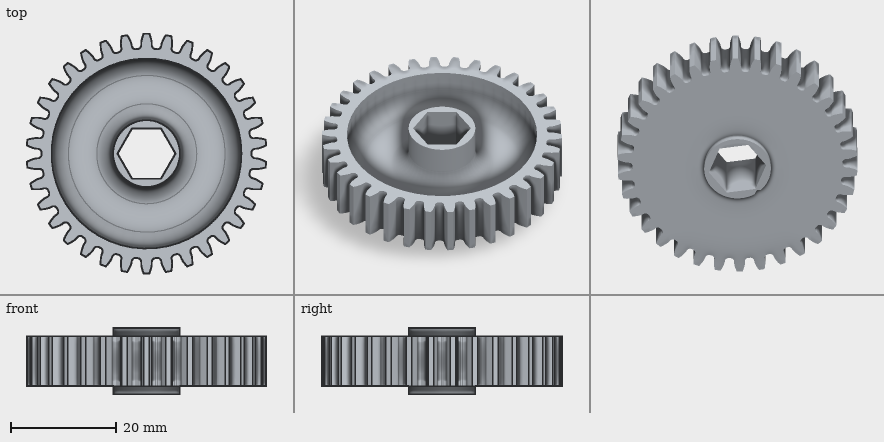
import cadquery as cq
import math

INCH = 25.4
TOOTH_COUNT = 34
MODULE = INCH / 20
PRESSURE_ANGLE = math.radians(14.5)
DEDENDUM_FACTOR = 1.25
TOOTH_THINNING = 0.08
ROOT_FILLET = 0.7

FACE_WIDTH = 3 / 8 * INCH
HUB_LENGTH = 12.65
HUB_RADIUS = INCH / 4
HEX_SIDES = 6
HEX_ACROSS_FLATS = 3 / 8 * INCH
RECESS_RADIUS = 0.7125 * INCH
RECESS_FILLET = INCH / 8
WEB_THICKNESS = 3 / 32 * INCH

GROOVE_WIDTH = 1.53
GROOVE_WALL_SLOPE = math.radians(30)

PITCH_RADIUS = MODULE * TOOTH_COUNT / 2
TIP_RADIUS = PITCH_RADIUS + MODULE
ROOT_RADIUS = PITCH_RADIUS - DEDENDUM_FACTOR * MODULE
BASE_RADIUS = PITCH_RADIUS * math.cos(PRESSURE_ANGLE)
TOOTH_PITCH = 2 * math.pi / TOOTH_COUNT
PITCH_HALF_ANGLE = TOOTH_PITCH / 4 - TOOTH_THINNING / (2 * PITCH_RADIUS)
TIP_PRESSURE_ANGLE = math.acos(BASE_RADIUS / TIP_RADIUS)
FIRST_TOOTH_ANGLE = math.pi / 2

RIM_TOP = FACE_WIDTH / 2
RIM_BOTTOM = -RIM_TOP
WEB_TOP = RIM_BOTTOM + WEB_THICKNESS
HUB_TOP = HUB_LENGTH / 2

FLANK_STEPS = 4


def polar(radius, angle):
    return radius * math.cos(angle), radius * math.sin(angle)


def mirror(point, center):
    """Reflect a point or direction about the line through the gear axis at an angle."""
    x, y = point
    return polar(math.hypot(x, y), 2 * center - math.atan2(y, x))


def involute_angle(pressure_angle):
    return math.tan(pressure_angle) - pressure_angle


def tooth_half_angle(pressure_angle):
    """Half of the angle a tooth fills where its involute has this local pressure angle."""
    return PITCH_HALF_ANGLE + involute_angle(PRESSURE_ANGLE) - involute_angle(pressure_angle)


def rising_flank(center):
    """Points up the clockwise flank of a tooth, and the directions it starts and ends in."""
    points = []
    for step in range(FLANK_STEPS + 1):
        roll = math.tan(TIP_PRESSURE_ANGLE) * step / FLANK_STEPS
        pressure_angle = math.atan(roll)
        radius = BASE_RADIUS / math.cos(pressure_angle)
        points.append(polar(radius, center - tooth_half_angle(pressure_angle)))
    start_direction = center - tooth_half_angle(0)
    end_direction = center - tooth_half_angle(TIP_PRESSURE_ANGLE) + TIP_PRESSURE_ANGLE
    return points, [polar(1, start_direction), polar(1, end_direction)]


def falling_flank(center):
    """Points down the other flank: the rising flank mirrored about the centre line and reversed."""
    points, directions = rising_flank(center)
    mirrored_points = [mirror(point, center) for point in reversed(points)]
    mirrored_directions = [mirror(direction, center) for direction in reversed(directions)]
    return mirrored_points, [(-x, -y) for x, y in mirrored_directions]


def gear_outline():
    """Closed tooth outline, running counter-clockwise, with root fillets tangent to radial flank feet."""
    foot_half_angle = tooth_half_angle(0)
    fillet_center_radius = ROOT_RADIUS + ROOT_FILLET
    fillet_span = math.asin(ROOT_FILLET / fillet_center_radius)
    fillet_top_radius = fillet_center_radius * math.cos(fillet_span)
    middle_turn = (math.pi / 2 - fillet_span) / 2

    root_half_angle = foot_half_angle + fillet_span

    def fillet_middle(center, side):
        center_angle = center + side * root_half_angle
        middle_direction = center_angle + math.pi + side * middle_turn
        center_x, center_y = polar(fillet_center_radius, center_angle)
        offset_x, offset_y = polar(ROOT_FILLET, middle_direction)
        return center_x + offset_x, center_y + offset_y

    outline = cq.Workplane("XY", origin=(0, 0, RIM_BOTTOM))
    outline = outline.moveTo(*polar(ROOT_RADIUS, FIRST_TOOTH_ANGLE - root_half_angle))
    for index in range(TOOTH_COUNT):
        center = FIRST_TOOTH_ANGLE + index * TOOTH_PITCH
        up_points, up_directions = rising_flank(center)
        down_points, down_directions = falling_flank(center)
        next_root_start = center + TOOTH_PITCH - root_half_angle

        rising_foot = polar(fillet_top_radius, center - foot_half_angle)
        outline = outline.threePointArc(fillet_middle(center, -1), rising_foot)
        outline = outline.lineTo(*up_points[0])
        outline = outline.spline(up_points[1:], tangents=up_directions, includeCurrent=True)
        outline = outline.threePointArc(polar(TIP_RADIUS, center), down_points[0])
        outline = outline.spline(down_points[1:], tangents=down_directions, includeCurrent=True)
        outline = outline.lineTo(*polar(fillet_top_radius, center + foot_half_angle))
        root_end = polar(ROOT_RADIUS, center + root_half_angle)
        outline = outline.threePointArc(fillet_middle(center, 1), root_end)
        root_middle = polar(ROOT_RADIUS, center + TOOTH_PITCH / 2)
        outline = outline.threePointArc(root_middle, polar(ROOT_RADIUS, next_root_start))
    return outline.close()


def recess():
    """Ring-shaped pocket between hub and rim, rounded along both edges of its floor."""
    depth = RIM_TOP - WEB_TOP
    ring = cq.Workplane("XY", origin=(0, 0, WEB_TOP)).circle(RECESS_RADIUS).circle(HUB_RADIUS)
    return ring.extrude(depth).faces("<Z").edges().fillet(RECESS_FILLET)


def hub():
    """Cylinder standing out equally above and below the rim."""
    return cq.Workplane("XY", origin=(0, 0, -HUB_TOP)).circle(HUB_RADIUS).extrude(HUB_LENGTH)


def hex_bore():
    """Through bore with two corners on the X axis."""
    across_corners = HEX_ACROSS_FLATS / math.cos(math.pi / HEX_SIDES)
    return cq.Workplane("XY", origin=(0, 0, -HUB_TOP)).polygon(HEX_SIDES, across_corners).extrude(HUB_LENGTH)


def hub_groove():
    """Triangular cutter whose walls meet the hub surface one groove width apart."""
    half_width = GROOVE_WIDTH / 2
    edge_x = -math.sqrt(HUB_RADIUS**2 - half_width**2)
    apex_x = edge_x + half_width * math.tan(GROOVE_WALL_SLOPE)
    mouth_x = -HUB_RADIUS - half_width
    mouth_half_width = (apex_x - mouth_x) / math.tan(GROOVE_WALL_SLOPE)
    corners = [(apex_x, 0), (mouth_x, mouth_half_width), (mouth_x, -mouth_half_width)]
    profile = cq.Workplane("XY", origin=(0, 0, -HUB_TOP)).polyline(corners).close()
    return profile.extrude(RIM_BOTTOM + HUB_TOP)


toothed_disc = gear_outline().extrude(FACE_WIDTH)
result = toothed_disc.cut(recess()).union(hub()).cut(hex_bore()).cut(hub_groove())